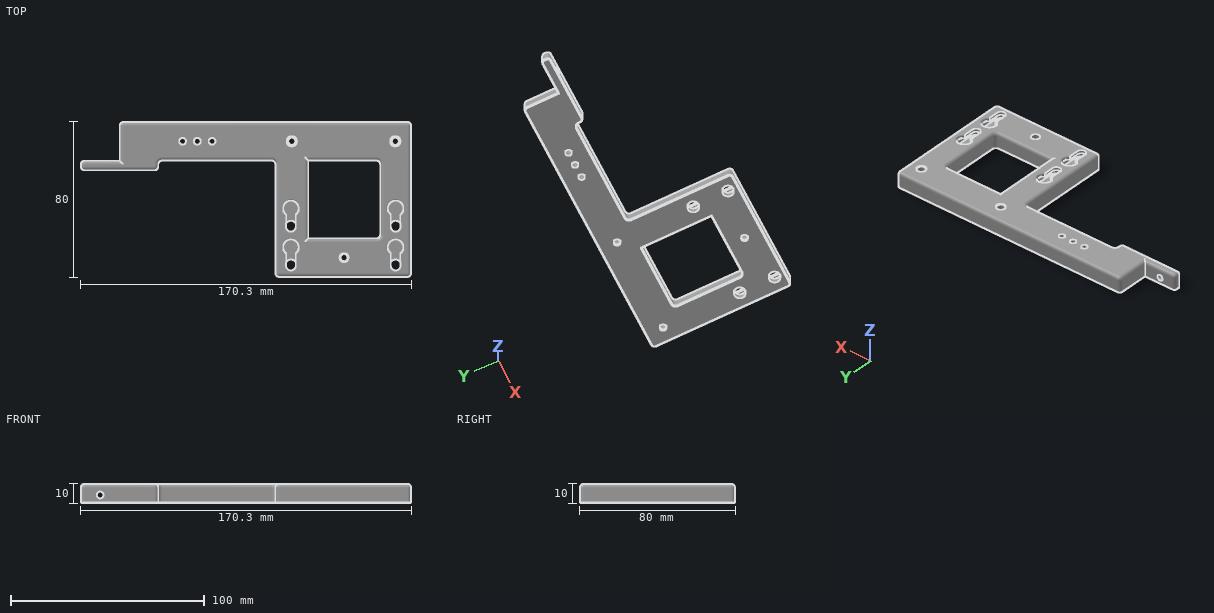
import cadquery as cq
import math

thickness = 10.0
plate_width = 70.0
plate_length = 80.0
overall_width = 170.34
edge_radius = 2.0
bottom_chamfer = 0.5

arm_width = 20.0
finger_reach = 20.0
finger_thickness = 5.0
hook_length = 40.0
arm_front = plate_length - arm_width
finger_front = arm_front - finger_thickness
finger_tip = plate_width - overall_width
arm_end = finger_tip + finger_reach
hook_end = finger_tip + hook_length

window_left = 17.0
window_width = 37.0
window_length = 40.0
window_back = arm_front
window_front = window_back - window_length

hole_inset = 10.0
screw_hole_diameter = 3.6
counterbore_diameter = 4.7
counterbore_depth = 8.0
rear_counterbore_chamfer = 0.35
rear_screw_xs = (8.45, 61.85)
front_screw_x = 35.4
arm_hole_diameter = 3.4
arm_hole_count = 3
arm_hole_pitch = 7.6
arm_hole_inset = 32.5
first_arm_hole_x = arm_end + arm_hole_inset
finger_hole_diameter = 3.4
finger_hole_x = finger_tip + finger_reach / 2
finger_hole_z = 4.2

keyhole_inset = 8.0
keyhole_head_ys = (15.4, 35.4)
keyhole_head_diameter = 8.0
keyhole_rim_radius = 0.9
keyhole_slot_width = 4.9
keyhole_travel = 9.5
keyhole_floor_hole_diameter = 6.1
keyhole_depth = 5.0
keyhole_lip_thickness = 2.0


def make_body():
    finger_root = (arm_end, arm_front)
    outline = [
        (0, 0),
        (plate_width, 0),
        (plate_width, plate_length),
        (arm_end, plate_length),
        finger_root,
        (finger_tip, arm_front),
        (finger_tip, finger_front),
        (hook_end, finger_front),
        (hook_end, arm_front),
        (0, arm_front),
    ]
    body = cq.Workplane("XY").polyline(outline).close().extrude(thickness)
    for corner in outline:
        if corner != finger_root:
            body = body.edges(vertical_edge_at(*corner)).fillet(edge_radius)
    return body


def vertical_edge_at(x, y):
    reach = edge_radius / 10
    return cq.selectors.BoxSelector((x - reach, y - reach, 0), (x + reach, y + reach, thickness))


def make_window():
    window = (
        cq.Workplane("XY", origin=(window_left, window_front, 0))
        .rect(window_width, window_length, centered=False)
        .extrude(thickness)
    )
    return window.edges("|Z and >X").fillet(edge_radius)


def cylinder(x, y, diameter, bottom, height):
    return cq.Workplane("XY", origin=(x, y, bottom)).circle(diameter / 2).extrude(height)


def make_screw_hole(x, y):
    hole = cylinder(x, y, screw_hole_diameter, 0, thickness)
    counterbore_floor = thickness - counterbore_depth
    return hole.union(cylinder(x, y, counterbore_diameter, counterbore_floor, counterbore_depth))


def make_rear_screw_hole(x, y):
    """Counterbored hole whose mouth is widened by a chamfer."""
    counterbore_radius = counterbore_diameter / 2
    mouth = (
        cq.Workplane("XY", origin=(x, y, thickness - rear_counterbore_chamfer))
        .circle(counterbore_radius)
        .workplane(offset=rear_counterbore_chamfer)
        .circle(counterbore_radius + rear_counterbore_chamfer)
        .loft()
    )
    return make_screw_hole(x, y).union(mouth)


def make_finger_hole():
    back_face = cq.Workplane("XZ", origin=(finger_hole_x, arm_front, finger_hole_z))
    return back_face.circle(finger_hole_diameter / 2).extrude(finger_thickness)


def make_keyhole_rim(x, y):
    """Flared mouth of a keyhole head, with a convex quarter-round profile."""
    bottom = thickness - keyhole_rim_radius
    head_radius = keyhole_head_diameter / 2
    mouth_radius = head_radius + keyhole_rim_radius
    arc_offset = keyhole_rim_radius * math.sqrt(0.5)
    return (
        cq.Workplane("XZ", origin=(x, y, bottom))
        .lineTo(head_radius, 0)
        .threePointArc(
            (mouth_radius - arc_offset, arc_offset),
            (mouth_radius, keyhole_rim_radius),
        )
        .lineTo(0, keyhole_rim_radius)
        .close()
        .revolve(360, (0, 0), (0, 1))
    )


def make_keyhole(x, head_y):
    floor = thickness - keyhole_depth
    slot_end_y = head_y - keyhole_travel

    def make_slot(width, height):
        return (
            cq.Workplane("XY", origin=(x, (head_y + slot_end_y) / 2, floor))
            .slot2D(keyhole_travel + width, width, 90)
            .extrude(height)
        )

    head = cylinder(x, head_y, keyhole_head_diameter, floor, keyhole_depth)
    slot = make_slot(keyhole_slot_width, keyhole_depth)
    undercut = make_slot(keyhole_head_diameter, keyhole_depth - keyhole_lip_thickness)
    floor_hole = cylinder(x, slot_end_y, keyhole_floor_hole_diameter, 0, floor)
    return head.union(make_keyhole_rim(x, head_y)).union(slot).union(undercut).union(floor_hole)


result = make_body().cut(make_window())
result = result.faces(">Z").edges().fillet(edge_radius)
result = result.faces("<Z").edges().chamfer(bottom_chamfer)

rear_hole_y = plate_length - hole_inset
for screw_x in rear_screw_xs:
    result = result.cut(make_rear_screw_hole(screw_x, rear_hole_y))
result = result.cut(make_screw_hole(front_screw_x, hole_inset))

for index in range(arm_hole_count):
    arm_hole_x = first_arm_hole_x + index * arm_hole_pitch
    result = result.cut(cylinder(arm_hole_x, rear_hole_y, arm_hole_diameter, 0, thickness))

result = result.cut(make_finger_hole())

for keyhole_x in (keyhole_inset, plate_width - keyhole_inset):
    for keyhole_y in keyhole_head_ys:
        result = result.cut(make_keyhole(keyhole_x, keyhole_y))